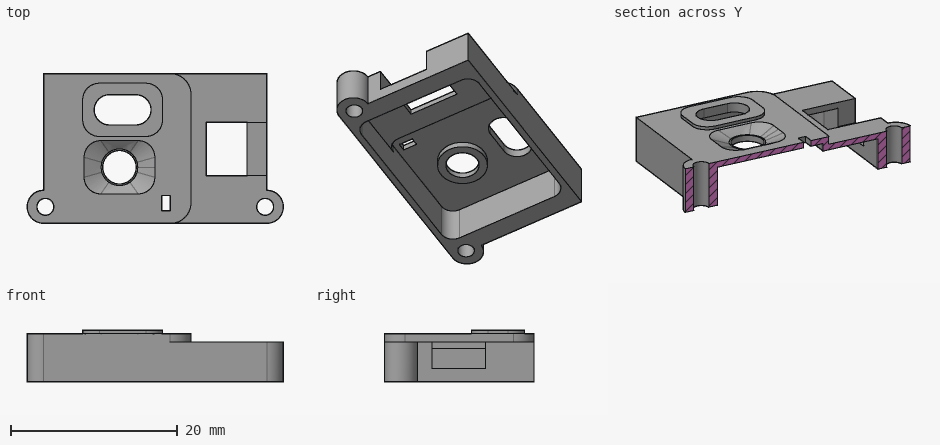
import cadquery as cq

body_length = 26.8
body_width = 18.0
low_height = 4.8
deck_height = 5.8
half_length = body_length / 2

deck_right_x = 4.3
deck_radius = 2.5

roof_thickness = 0.8
end_wall = 2.4
side_wall = 0.8
cavity_radius = 1.6

lug_radius = 2.0
screw_hole_diameter = 2.0
screw_hole_inset = 0.2

window_left_x = 6.15
window_center_y = 8.95
window_width = 6.4
sill_height = 1.6

oval_x = -3.92
oval_y = 13.65
oval_length = 6.8
oval_width = 3.6
pad_margin = 1.4
pad_thickness = 0.4
pad_radius = 2.0

funnel_x = -4.3
funnel_y = 6.75
funnel_length = 8.5
funnel_width = 6.4
funnel_radius = 2.0
funnel_depth = 0.8
funnel_bottom_diameter = 4.4
lens_hole_diameter = 4.0
collar_diameter = funnel_bottom_diameter + 2 * roof_thickness
collar_drop = 0.8

slot_x = 1.3
slot_y = 2.45
slot_length = 1.0
slot_width = 1.8


def block(x_min, x_max, y_min, y_max, z_min, z_max):
    """Box given by its limits along each axis."""
    box = cq.Workplane("XY").box(x_max - x_min, y_max - y_min, z_max - z_min, centered=False)
    return box.translate((x_min, y_min, z_min))


def cylinder(x, y, diameter, z_min, z_max):
    """Upright cylinder between two heights."""
    base = cq.Workplane("XY", origin=(x, y, z_min))
    return base.circle(diameter / 2).extrude(z_max - z_min)


def lug(side, height):
    """Round lug on the left (side = -1) or right (side = 1) end."""
    return cylinder(side * half_length, lug_radius, 2 * lug_radius, 0, height)


def outer_body():
    """Low body, raised deck with rounded right corners, and both lugs."""
    low_part = block(-half_length, half_length, 0, body_width, 0, low_height)
    deck = block(-half_length, deck_right_x, 0, body_width, low_height, deck_height)
    deck = deck.edges("|Z and >X").fillet(deck_radius)
    return low_part.union(deck).union(lug(-1, deck_height)).union(lug(1, low_height))


def cavity():
    """Interior that keeps the roof thickness under both the low roof and the deck."""
    inner_x = half_length - end_wall
    inner_back = body_width - side_wall
    low_ceiling = low_height - roof_thickness
    deck_ceiling = deck_height - roof_thickness
    main = block(-inner_x, inner_x, side_wall, inner_back, 0, low_ceiling)
    main = main.edges("|Z").fillet(cavity_radius)
    inner_deck_x = deck_right_x - roof_thickness
    upper = block(-inner_x, inner_deck_x, side_wall, inner_back, low_ceiling, deck_ceiling)
    upper = upper.edges("|Z").fillet(cavity_radius)
    return main.union(upper)


def oval_pad():
    """Thin rounded pad around the oval opening."""
    pad = cq.Workplane("XY", origin=(oval_x, oval_y, deck_height))
    pad = pad.rect(oval_length + 2 * pad_margin, oval_width + 2 * pad_margin).extrude(pad_thickness)
    return pad.edges("|Z").fillet(pad_radius)


def oval_opening():
    """Oval cut through the pad and the deck roof."""
    bottom = deck_height - roof_thickness
    opening = cq.Workplane("XY", origin=(oval_x, oval_y, bottom))
    return opening.slot2D(oval_length, oval_width).extrude(roof_thickness + pad_thickness)


def funnel():
    """Loft from a circle at the funnel bottom to a rounded rectangle in the deck surface."""
    rim = cq.Sketch().rect(funnel_length, funnel_width).vertices().fillet(funnel_radius)
    bottom = cq.Sketch().circle(funnel_bottom_diameter / 2)
    base = cq.Workplane("XY", origin=(funnel_x, funnel_y, deck_height - funnel_depth))
    return base.placeSketch(bottom, rim.moved(cq.Location(cq.Vector(0, 0, funnel_depth)))).loft()


def collar():
    """Round collar hanging below the deck roof around the lens hole."""
    ceiling = deck_height - roof_thickness
    return cylinder(funnel_x, funnel_y, collar_diameter, ceiling - collar_drop, ceiling)


def window():
    """Opening in the low roof that continues out through the right wall above the sill."""
    y_min = window_center_y - window_width / 2
    y_max = window_center_y + window_width / 2
    return block(window_left_x, half_length, y_min, y_max, sill_height, low_height)


def slot():
    """Small rectangular slot through the deck roof."""
    base = cq.Workplane("XY", origin=(slot_x, slot_y, deck_height - roof_thickness))
    return base.rect(slot_length, slot_width).extrude(roof_thickness)


result = outer_body().cut(cavity()).union(oval_pad()).union(collar())
result = result.cut(oval_opening()).cut(funnel()).cut(window()).cut(slot())
result = result.cut(cylinder(funnel_x, funnel_y, lens_hole_diameter, 0, deck_height))
for side in (-1, 1):
    hole_x = side * (half_length - screw_hole_inset)
    result = result.cut(cylinder(hole_x, lug_radius, screw_hole_diameter, 0, deck_height))